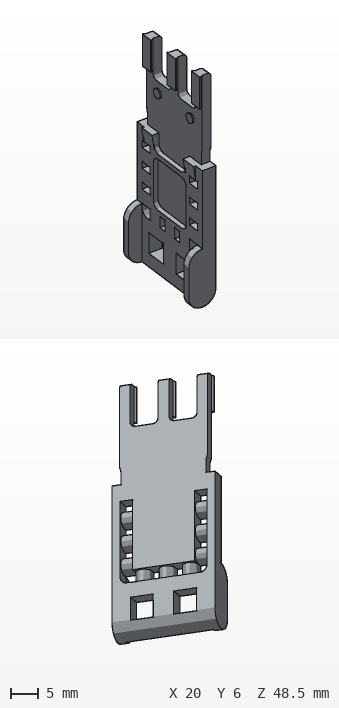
import cadquery as cq

width = 20.0
depth = 6.0
height = 48.5

base_thickness = depth / 2
base_top = 29.2
leg_thickness = 1.5
leg_radius = depth / 2
leg_top = 12.5

neck_thickness = 2.0
neck_half_width = 8.55
waist_half_width = 8.25
waist_top = 31.55
neck_taper_top = 32.65

side_prong_inner = 6.5
middle_prong_half_width = 1.05
notch_bottom = 40.0
notch_radius = 1.0
prong_tip_radius = 1.0

head_bottom = 41.6
head_overhang = 0.25
head_flare_front = 2.45
head_front = 2.7

boss_x = 5.0
boss_z = 37.55
boss_radius = 1.0
boss_height = 0.3

recess_half_width = 4.75
recess_bottom = 25.55
recess_radius = 1.5

wedge_outer = 7.95
wedge_bottom = 26.0
wedge_front = 3.5

pocket_width = 10.05
pocket_bottom = 13.6
pocket_top = 24.55
pocket_radius = 1.5
pocket_depth = 1.0

channel_inner = 6.0
channel_outer = 8.45
channel_bottom = 10.2
channel_inner_bottom = 12.55
channel_top = wedge_bottom
channel_corner_radius = 1.4

bar_width = 3.0
bar_straight_depth = 1.0
side_bar_pitch = 4.45
side_bar_count = 3
lowest_side_bar_z = channel_inner_bottom + bar_width / 2
outer_bar_x = channel_inner - bar_width / 2

window_inner = 2.0
window_bottom = 2.9
window_size = 4.4


def block(x_min, x_max, front, back, z_min, z_max):
    """Box between two X positions, two depths below the back face and two heights."""
    size = (x_max - x_min, front - back, z_max - z_min)
    return cq.Workplane("XY").box(*size, centered=False).translate((x_min, -front, z_min))


def mirrored(shape):
    """Shape together with its mirror image across X = 0."""
    return shape.union(shape.mirror("YZ"))


def make_base():
    side_outline = (
        cq.Workplane("YZ")
        .moveTo(0, base_top)
        .lineTo(0, leg_radius)
        .threePointArc((-leg_radius, 0), (-depth, leg_radius))
        .lineTo(-depth, leg_top - leg_radius)
        .radiusArc((-base_thickness, leg_top), leg_radius)
        .lineTo(-base_thickness, base_top)
        .close()
    )
    base = side_outline.extrude(width / 2, both=True)
    inner_half_width = width / 2 - leg_thickness
    return base.cut(block(-inner_half_width, inner_half_width, depth, base_thickness, 0, leg_top))


def make_wedges():
    wedge = (
        cq.Workplane("YZ", origin=(recess_half_width, 0, 0))
        .moveTo(-neck_thickness, wedge_bottom)
        .lineTo(-base_thickness, wedge_bottom)
        .lineTo(-wedge_front, base_top)
        .lineTo(-neck_thickness, base_top)
        .close()
        .extrude(wedge_outer - recess_half_width)
    )
    return mirrored(wedge)


def make_neck():
    half_outline = [
        (0, recess_bottom),
        (waist_half_width, recess_bottom),
        (waist_half_width, waist_top),
        (neck_half_width, neck_taper_top),
        (neck_half_width, height),
        (0, height),
    ]
    neck = mirrored(cq.Workplane("XZ").polyline(half_outline).close().extrude(neck_thickness))
    notch = block(
        middle_prong_half_width, side_prong_inner, neck_thickness, 0, notch_bottom, height
    )
    return neck.cut(mirrored(notch.edges("|Y and <Z").fillet(notch_radius)))


def make_head(x_min, x_max):
    """Prong head that flares sideways and then runs straight to its front face."""
    return (
        cq.Workplane("XY", origin=(0, 0, head_bottom))
        .moveTo(x_min, -neck_thickness)
        .lineTo(x_min - head_overhang, -head_flare_front)
        .lineTo(x_min - head_overhang, -head_front)
        .lineTo(x_max + head_overhang, -head_front)
        .lineTo(x_max + head_overhang, -head_flare_front)
        .lineTo(x_max, -neck_thickness)
        .close()
        .extrude(height - head_bottom)
    )


def make_bosses():
    return (
        cq.Workplane("XZ", origin=(0, -neck_thickness, 0))
        .pushPoints([(-boss_x, boss_z), (boss_x, boss_z)])
        .circle(boss_radius)
        .extrude(boss_height)
    )


def make_recess():
    recess = block(
        -recess_half_width, recess_half_width, depth, neck_thickness, recess_bottom, base_top
    )
    return recess.edges("|Y and <Z").fillet(recess_radius)


def make_pocket():
    floor = base_thickness - pocket_depth
    pocket = block(-pocket_width / 2, pocket_width / 2, base_thickness, floor, pocket_bottom, pocket_top)
    return pocket.edges("|Y").fillet(pocket_radius)


def make_channel():
    side = block(channel_inner, channel_outer, base_thickness, 0, channel_bottom, channel_top)
    side = side.edges("|Y and >X and <Z").fillet(channel_corner_radius)
    crossing = block(
        -channel_inner, channel_inner, base_thickness, 0, channel_bottom, channel_inner_bottom
    )
    return mirrored(side).union(crossing)


def bar_profile(plane):
    """Bar cross-section centred on the plane origin, with its round side towards the back."""
    half_width = bar_width / 2
    round_start = bar_straight_depth - base_thickness
    return (
        plane.moveTo(-base_thickness, -half_width)
        .lineTo(round_start, -half_width)
        .threePointArc((round_start + half_width, 0), (round_start, half_width))
        .lineTo(-base_thickness, half_width)
        .close()
    )


def make_bars():
    bars = bar_profile(cq.Workplane(cq.Plane((0, 0, channel_bottom), (0, 1, 0), (0, 0, 1))))
    bars = bars.extrude(channel_inner_bottom - channel_bottom)
    bars = bars.union(mirrored(bars.translate((outer_bar_x, 0, 0))))
    for row in range(side_bar_count):
        bar_z = lowest_side_bar_z + row * side_bar_pitch
        side_bar = bar_profile(cq.Workplane("YZ", origin=(channel_inner, 0, bar_z)))
        bars = bars.union(mirrored(side_bar.extrude(channel_outer - channel_inner)))
    return bars


def make_windows():
    window_outer = window_inner + window_size
    window_top = window_bottom + window_size
    return mirrored(block(window_inner, window_outer, base_thickness, 0, window_bottom, window_top))


base = make_base().union(make_wedges())
base = base.cut(make_recess()).cut(make_pocket())

neck = make_neck()
neck = neck.edges("|X and >Y and >Z").fillet(prong_tip_radius)
neck = neck.union(make_bosses())
neck = neck.union(make_head(-middle_prong_half_width, middle_prong_half_width))
neck = neck.union(mirrored(make_head(side_prong_inner, neck_half_width)))

result = base.union(neck).cut(make_windows())
result = result.cut(make_channel()).union(make_bars())